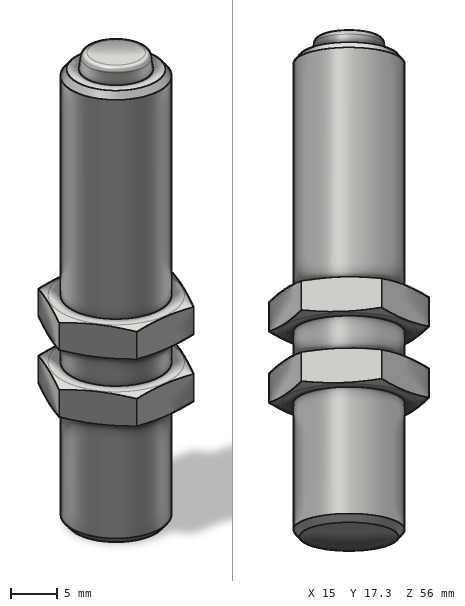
import cadquery as cq
import math

total_length = 56.0
tip_height = 2.0
barrel_length = total_length - tip_height
barrel_diameter = 12.0
barrel_end_diameter = 10.65
barrel_chamfer_height = 0.8
tip_base_diameter = 8.0
tip_shoulder_diameter = 7.6
tip_face_diameter = 6.3
tip_rounding_height = 0.6

nut_width = 15.0
nut_height = 4.0
nut_face_diameter = 14.7
nut_chamfer_angle = 15.0
nut_bottoms = [15.0, 23.0]


def make_barrel():
    """Revolve the chamfered barrel and the tip with its rounded rim."""
    barrel_radius = barrel_diameter / 2
    end_radius = barrel_end_diameter / 2
    shoulder_radius = tip_shoulder_diameter / 2
    face_radius = tip_face_diameter / 2
    rim_width = shoulder_radius - face_radius
    rim_bottom = total_length - tip_rounding_height
    rim_middle = (
        face_radius + rim_width * math.sin(math.pi / 4),
        rim_bottom + tip_rounding_height * math.sin(math.pi / 4),
    )
    return (
        cq.Workplane("XZ")
        .lineTo(end_radius, 0)
        .lineTo(barrel_radius, barrel_chamfer_height)
        .lineTo(barrel_radius, barrel_length - barrel_chamfer_height)
        .lineTo(end_radius, barrel_length)
        .lineTo(tip_base_diameter / 2, barrel_length)
        .lineTo(shoulder_radius, rim_bottom)
        .threePointArc(rim_middle, (face_radius, total_length))
        .lineTo(0, total_length)
        .close()
        .revolve(360, (0, 0, 0), (0, 1, 0))
    )


def make_nut(bottom):
    """Make a hexagonal nut with flats facing X and corners chamfered at both ends."""
    corner_radius = nut_width / math.sqrt(3)
    face_radius = nut_face_diameter / 2
    corner_drop = (corner_radius - face_radius) * math.tan(math.radians(nut_chamfer_angle))
    hexagon = (
        cq.Workplane("XY")
        .polygon(6, 2 * corner_radius)
        .extrude(nut_height)
        .rotate((0, 0, 0), (0, 0, 1), 30)
    )
    chamfer_envelope = (
        cq.Workplane("XZ")
        .lineTo(face_radius, 0)
        .lineTo(corner_radius, corner_drop)
        .lineTo(corner_radius, nut_height - corner_drop)
        .lineTo(face_radius, nut_height)
        .lineTo(0, nut_height)
        .close()
        .revolve(360, (0, 0, 0), (0, 1, 0))
    )
    bore = cq.Workplane("XY").circle(barrel_diameter / 2).extrude(nut_height)
    return hexagon.intersect(chamfer_envelope).cut(bore).translate((0, 0, bottom))


barrel = make_barrel()
nuts = [make_nut(bottom) for bottom in nut_bottoms]
result = cq.Compound.makeCompound([barrel.val(), *[nut.val() for nut in nuts]])